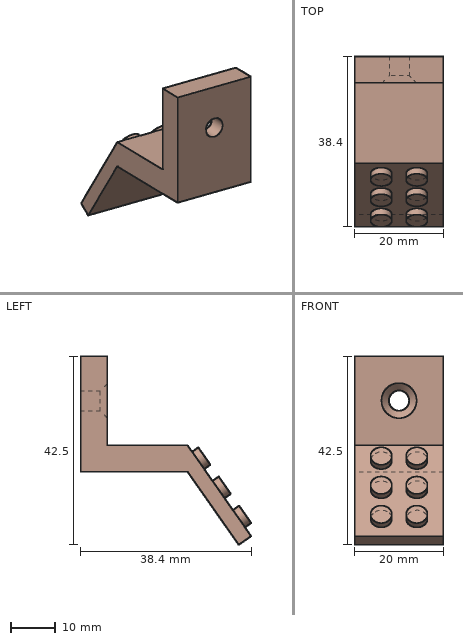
import cadquery as cq
import math

width = 20.0
wall_thickness = 6.0
wall_height = 20.0
shelf_length = 24.0
ramp_length = 25.0
ramp_angle = 55.0

hole_diameter = 4.5
countersink_diameter = 7.9
countersink_angle = 90.0

stud_diameter = 4.8
stud_height = 1.7
stud_pitch = 8.0
stud_columns = 2
stud_rows = 3
first_row_distance = 4.2

ramp_cos = math.cos(math.radians(ramp_angle))
ramp_sin = math.sin(math.radians(ramp_angle))
ramp_thickness = wall_thickness * ramp_cos


def ramp_point(distance, depth):
    """(Y, Z) of a point down the slope from the bend, at a depth below the sloped face."""
    y = -shelf_length - distance * ramp_cos + depth * ramp_sin
    z = -distance * ramp_sin - depth * ramp_cos
    return y, z


def make_bracket():
    """Side profile of upright, shelf and ramp, extruded across the width."""
    profile = [
        (0, wall_height),
        (-wall_thickness, wall_height),
        (-wall_thickness, 0),
        (-shelf_length, 0),
        ramp_point(ramp_length, 0),
        ramp_point(ramp_length, ramp_thickness),
        (-shelf_length, -wall_thickness),
        (0, -wall_thickness),
    ]
    return cq.Workplane("YZ").polyline(profile).close().extrude(width / 2, both=True)


def drill_screw_hole(body):
    """Through hole, countersunk on the front of the upright and centred above the shelf."""
    front_face = cq.Plane(
        origin=(0, -wall_thickness, wall_height / 2), xDir=(1, 0, 0), normal=(0, -1, 0)
    )
    return body.copyWorkplane(cq.Workplane(front_face)).cskHole(
        hole_diameter, countersink_diameter, countersink_angle
    )


def make_studs():
    """Grid of round studs square to the sloped face, centred across its width."""
    grid_centre_distance = first_row_distance + stud_pitch * (stud_rows - 1) / 2
    centre_y, centre_z = ramp_point(grid_centre_distance, 0)
    sloped_face = cq.Plane(
        origin=(0, centre_y, centre_z), xDir=(1, 0, 0), normal=(0, -ramp_sin, ramp_cos)
    )
    return (
        cq.Workplane(sloped_face)
        .rarray(stud_pitch, stud_pitch, stud_columns, stud_rows)
        .circle(stud_diameter / 2)
        .extrude(stud_height)
    )


result = drill_screw_hole(make_bracket()).union(make_studs())